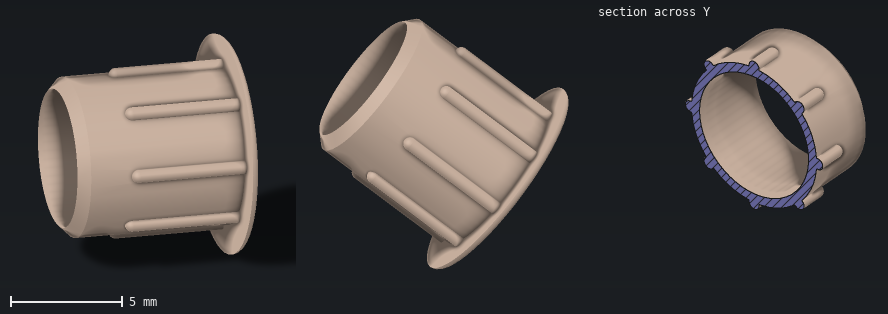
import cadquery as cq
import math

length = 8.0
flange_diameter = 10.0
flange_thickness = 0.3
body_diameter = 7.3
mouth_chamfer = 0.5
bore_diameter = body_diameter - 2 * mouth_chamfer
floor_thickness = flange_thickness

rib_count = 8
rib_radius = 0.3
rib_straight_length = 5.0
rib_center_radius = 3.7
rib_root_depth = 0.2

flange_front_y = length - flange_thickness


def cylinder_along_y(diameter, start_y, end_y):
    """Cylinder on the Y axis between two Y positions."""
    plane = cq.Workplane("XZ", origin=(0, start_y, 0))
    return plane.circle(diameter / 2).extrude(start_y - end_y)


def make_flange():
    """Disc whose rim is a quarter round across its whole thickness."""
    rim_radius = flange_diameter / 2
    flat_radius = rim_radius - flange_thickness
    bulge = flange_thickness * math.sqrt(0.5)
    profile = (
        cq.Workplane("XY")
        .moveTo(0, flange_front_y)
        .lineTo(rim_radius, flange_front_y)
        .threePointArc((flat_radius + bulge, flange_front_y + bulge), (flat_radius, length))
        .lineTo(0, length)
        .close()
    )
    return profile.revolve(360, (0, 0, 0), (0, 1, 0))


def make_body():
    """Barrel whose mouth chamfer narrows down to the bore."""
    barrel = cylinder_along_y(body_diameter, 0, length - flange_thickness / 2)
    return barrel.faces("<Y").edges().chamfer(mouth_chamfer)


def make_rib():
    """Half-round rib at +X with a domed tip, on a straight-sided root sunk into the barrel."""
    tip_y = flange_front_y - rib_straight_length
    bulge = rib_radius * math.sqrt(0.5)
    crown = (
        cq.Workplane("ZY")
        .moveTo(0, flange_front_y)
        .lineTo(rib_radius, flange_front_y)
        .lineTo(rib_radius, tip_y)
        .threePointArc((bulge, tip_y - bulge), (0, tip_y - rib_radius))
        .close()
        .revolve(180, (0, 0, 0), (0, 1, 0))
    )
    root = (
        cq.Workplane("YZ")
        .moveTo(flange_front_y, -rib_radius)
        .lineTo(flange_front_y, rib_radius)
        .lineTo(tip_y, rib_radius)
        .threePointArc((tip_y - rib_radius, 0), (tip_y, -rib_radius))
        .close()
        .extrude(-rib_root_depth)
    )
    return crown.union(root).translate((rib_center_radius, 0, 0))


result = make_flange().union(make_body())
rib = make_rib()
for index in range(rib_count):
    angle = index * 360 / rib_count
    result = result.union(rib.rotate((0, 0, 0), (0, 1, 0), angle))

result = result.cut(cylinder_along_y(bore_diameter, 0, length - floor_thickness))